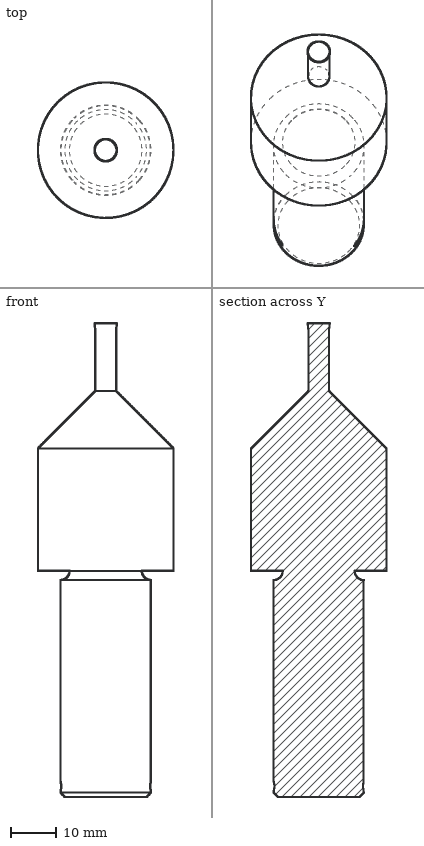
import cadquery as cq
import math

total_height = 104.7
body_radius = 15.0
shank_radius = 10.0
tip_radius = 2.35

shoulder_height = 50.0
tip_length = 15.0
tip_base_height = total_height - tip_length

cone_base_height = tip_base_height - (body_radius - tip_radius)

neck_fillet = 2.0
neck_radius = shank_radius - neck_fillet

shank_chamfer = 1.0
groove_bottom_height = 1.4
groove_width = 2.0
groove_depth = 0.15
groove_middle_height = groove_bottom_height + groove_width / 2
groove_top_height = groove_bottom_height + groove_width

head_length = 1.3
head_radius = 2.5
head_chamfer = 0.12
head_base_height = total_height - head_length


def half_section():
    """Half section of the part, from the axis outwards, in the XZ plane."""
    neck_arc_offset = neck_fillet * math.sqrt(0.5)
    return (
        cq.Workplane("XZ")
        .lineTo(shank_radius - shank_chamfer, 0)
        .lineTo(shank_radius, shank_chamfer)
        .lineTo(shank_radius, groove_bottom_height)
        .threePointArc(
            (shank_radius - groove_depth, groove_middle_height),
            (shank_radius, groove_top_height),
        )
        .lineTo(shank_radius, shoulder_height - neck_fillet)
        .threePointArc(
            (shank_radius - neck_arc_offset, shoulder_height - neck_arc_offset),
            (neck_radius, shoulder_height),
        )
        .lineTo(body_radius, shoulder_height)
        .lineTo(body_radius, cone_base_height)
        .lineTo(tip_radius, tip_base_height)
        .lineTo(tip_radius, head_base_height)
        .lineTo(head_radius, total_height - head_chamfer)
        .lineTo(head_radius - head_chamfer, total_height)
        .lineTo(0, total_height)
        .close()
    )


result = half_section().revolve(360, (0, 0, 0), (0, 1, 0))